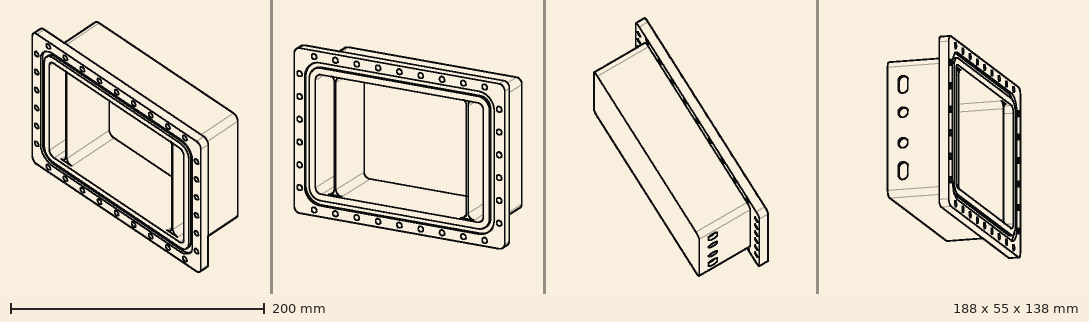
import cadquery as cq

flange_width = 188.0
flange_height = 138.0
flange_thickness = 8.0
corner_radius = 5.0

total_depth = 55.0
box_width = 160.0
box_height = 110.0
wall = 5.0

divider_thickness = 1.5
divider_spacing = 118.0
divider_setback = 3.0

groove_outer_width = 169.4
groove_outer_height = 119.4
groove_outer_radius = 14.1
groove_width = 4.3
groove_depth = 2.3

bolt_diameter = 4.5
bolt_edge_inset = 4.9
top_row_count = 9
top_row_span = 152.3
side_row_count = 6

recess_diameter = 8.0
recess_back_offset = 12.8
round_recess_height = 12.5
slot_height = 35.0
slot_length = 14.1
recess_depth = 3.0

cavity_width = box_width - 2 * wall
cavity_height = box_height - 2 * wall
cavity_depth = total_depth - wall
bolt_pitch = top_row_span / (top_row_count - 1)


def rounded_block(width, height, radius, front, back, center_x=0.0):
    """Block between two Y positions with its four Y-direction edges rounded."""
    return (
        cq.Workplane("XZ", origin=(center_x, front, 0))
        .rect(width, height)
        .extrude(front - back)
        .edges("|Y")
        .fillet(radius)
    )


def make_housing():
    flange = rounded_block(flange_width, flange_height, corner_radius, 0, flange_thickness)
    box = rounded_block(box_width, box_height, corner_radius, 0, total_depth)
    return flange.union(box)


def make_cavity():
    """Shared opening at the front, then one rounded pocket per compartment."""
    middle_width = divider_spacing - divider_thickness
    side_width = (cavity_width - divider_spacing - divider_thickness) / 2
    side_center = (cavity_width - side_width) / 2

    cavity = rounded_block(cavity_width, cavity_height, corner_radius, 0, divider_setback)
    compartments = [(0, middle_width), (-side_center, side_width), (side_center, side_width)]
    for center_x, width in compartments:
        pocket = rounded_block(
            width, cavity_height, corner_radius, divider_setback, cavity_depth, center_x
        )
        cavity = cavity.union(pocket)
    return cavity


def make_groove():
    outer = rounded_block(
        groove_outer_width, groove_outer_height, groove_outer_radius, 0, groove_depth
    )
    inner = rounded_block(
        groove_outer_width - 2 * groove_width,
        groove_outer_height - 2 * groove_width,
        groove_outer_radius - groove_width,
        0,
        groove_depth,
    )
    return outer.cut(inner)


def make_bolt_holes():
    row_x = flange_width / 2 - bolt_edge_inset
    row_z = flange_height / 2 - bolt_edge_inset
    points = []
    for i in range(top_row_count):
        x = (i - (top_row_count - 1) / 2) * bolt_pitch
        points += [(x, row_z), (x, -row_z)]
    for i in range(side_row_count):
        z = (i - (side_row_count - 1) / 2) * bolt_pitch
        points += [(row_x, z), (-row_x, z)]
    return cq.Workplane("XZ").pushPoints(points).circle(bolt_diameter / 2).extrude(-flange_thickness)


def make_wall_recesses():
    y = total_depth - recess_back_offset
    wall_plane = cq.Workplane("YZ", origin=(-box_width / 2, 0, 0))
    round_points = [(y, round_recess_height), (y, -round_recess_height)]
    slot_points = [(y, slot_height), (y, -slot_height)]
    round_recesses = wall_plane.pushPoints(round_points).circle(recess_diameter / 2).extrude(recess_depth)
    slot_recesses = (
        wall_plane.pushPoints(slot_points)
        .slot2D(slot_length, recess_diameter, 90)
        .extrude(recess_depth)
    )
    return round_recesses.union(slot_recesses)


result = (
    make_housing()
    .cut(make_cavity())
    .cut(make_groove())
    .cut(make_bolt_holes())
    .cut(make_wall_recesses())
)